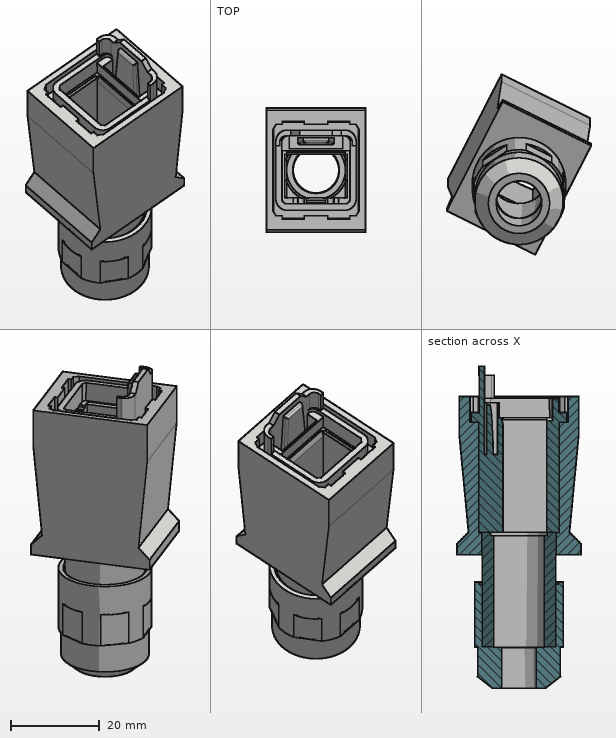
import cadquery as cq


TOTAL_HEIGHT = 72.45
NUT_CONE_TOP = 2.6
NUT_GRIP_BOTTOM = 9.3
NUT_FLAT_TOP = 16.95
NUT_TOP = 23.9
HOOD_BOTTOM = 30.0
FOOT_TOP = 32.45
WAIST = 35.1
SHOULDER = 56.7
HOOD_TOP = 65.65
TAB_SHOULDER = 70.4

HOOD_WIDTH = 22.3
FOOT_DEPTH = 28.0
WAIST_DEPTH = 22.75
HOOD_DEPTH = 26.9
OPENING_WIDTH = 19.35
OPENING_DEPTH = 20.6
OPENING_CORNER_X = 0.7
OPENING_CORNER_Y = 1.15
RECESS_DROP = 5.8
KEY_INNER = 2.7
KEY_OUTER = 7.6
KEY_END = 11.0
NECK_TOP = WAIST

FRAME_SIZE = 18.05
FRAME_RADIUS = 2.5
FRAME_TOP = HOOD_TOP - 0.4
FLANGE_TOP = HOOD_TOP - 3.6
FLANGE_BOTTOM = HOOD_TOP - RECESS_DROP
FLANGE_CLEARANCE = 0.2
REAR_WALL = 1.3
FRONT_WALL = 1.5
CAVITY_TOP_WIDTH = 15.4
CAVITY_BOTTOM_WIDTH = 15.15
CAVITY_CORNER = 0.7
DIVIDER_TOP = HOOD_TOP - 1.45
LEDGE_TOP = DIVIDER_TOP - 3.3
DIVIDER_FRONT = 4.4
DIVIDER_THICKNESS = 0.4
POCKET_WIDTH = 11.95
POCKET_FLOOR = HOOD_TOP - 13.05
WINDOW_WIDTH = 13.25
WINDOW_REAR = 3.55
WINDOW_FRONT = -6.2
WINDOW_FLARE = 0.4
REAR_SLOPE_DROP = 1.6

LEG_THICKNESS = 0.9
LEG_LENGTH = 3.5
LEG_INNER_RADIUS = 1.45
CREST_WIDTH = 7.3
CREST_FOOT_WIDTH = 11.4

RIB_TOP = TOTAL_HEIGHT - 0.95
RIB_BASE_WIDTH = 8.2
RIB_TOP_WIDTH = 5.65
RIB_BASE_REACH = 1.95
RIB_TOP_REACH = 1.5
RIB_GAP = 0.4
RIB_FILLET = 0.5

SCALLOP_SPOTS = ((3.3, 0.65), (4.6, 0.5))
NOTCH_WIDTH = 4.35
NOTCH_LENGTH = 1.0
NOTCH_CHAMFER = 0.4
NOTCH_DEPTH = 0.6

NECK_DIAMETER = 18.05
NECK_BORE = 13.2
NECK_COUNTERBORE = 14.2
NECK_COUNTERBORE_DEPTH = 0.7
NUT_DIAMETER = 21.0
NUT_ACROSS_FLATS = 20.0
NUT_FLAT_COUNT = 6
CAP_DIAMETER = 19.85
CONE_END_DIAMETER = 13.8
CABLE_HOLE = 10.2
CABLE_HOLE_CHAMFER = 0.15
NUT_RECESS_DIAMETER = 18.85
NUT_RECESS_DROP = 0.5


def block(x_min, x_max, y_min, y_max, z_min, z_max):
    """Box given by its limits along each axis."""
    size = (x_max - x_min, y_max - y_min, z_max - z_min)
    return cq.Workplane("XY").box(*size, centered=False).translate((x_min, y_min, z_min))


def disc(diameter, z_min, z_max):
    """Cylinder on the Z axis."""
    return cq.Workplane("XY").workplane(offset=z_min).circle(diameter / 2).extrude(z_max - z_min)


def frame_prism(z_min, z_max):
    """Square prism with rounded corners: the outside of the insert."""
    prism = cq.Workplane("XY").workplane(offset=z_min).rect(FRAME_SIZE, FRAME_SIZE)
    return prism.extrude(z_max - z_min).edges("|Z").fillet(FRAME_RADIUS)


def recess_prism(z_min, z_max):
    """Prism with cut corners, and two keys each on its front and its rear: the hood's opening."""
    x_edge = OPENING_WIDTH / 2
    y_edge = OPENING_DEPTH / 2
    quarter = [
        (x_edge, y_edge - OPENING_CORNER_Y),
        (x_edge - OPENING_CORNER_X, y_edge),
        (KEY_OUTER, y_edge),
        (KEY_OUTER, KEY_END),
        (KEY_INNER, KEY_END),
        (KEY_INNER, y_edge),
    ]
    rear = quarter + [(-x, y) for x, y in reversed(quarter)]
    front = [(-x, -y) for x, y in rear]
    return cq.Workplane("XY").workplane(offset=z_min).polyline(rear + front).close().extrude(z_max - z_min)


def make_hood():
    side = [
        (FOOT_DEPTH / 2, HOOD_BOTTOM),
        (FOOT_DEPTH / 2, FOOT_TOP),
        (WAIST_DEPTH / 2, WAIST),
        (HOOD_DEPTH / 2, SHOULDER),
        (HOOD_DEPTH / 2, HOOD_TOP),
    ]
    outline = side + [(-y, z) for y, z in reversed(side)]
    shell = cq.Workplane("YZ").polyline(outline).close().extrude(HOOD_WIDTH / 2, both=True)
    shell = shell.cut(recess_prism(FLANGE_BOTTOM, HOOD_TOP))
    shell = shell.cut(frame_prism(NECK_TOP, FLANGE_BOTTOM))
    return shell.cut(disc(NECK_DIAMETER, HOOD_BOTTOM, NECK_TOP))


FRAME_EDGE = FRAME_SIZE / 2
CAVITY_REAR = FRAME_EDGE - REAR_WALL
CAVITY_FRONT = FRONT_WALL - FRAME_EDGE
DIVIDER_REAR = DIVIDER_FRONT + DIVIDER_THICKNESS


def make_cavity():
    """Upper cavity, whose two sides lean inward toward the ledge."""
    cavity = block(
        -CAVITY_TOP_WIDTH / 2, CAVITY_TOP_WIDTH / 2, CAVITY_FRONT, CAVITY_REAR, LEDGE_TOP, FRAME_TOP
    )
    cavity = cavity.edges("|Z and <Y").chamfer(CAVITY_CORNER)
    cavity = cavity.edges("|Z and >Y").fillet(LEG_INNER_RADIUS)
    lean = [
        (-CAVITY_BOTTOM_WIDTH / 2, LEDGE_TOP),
        (CAVITY_BOTTOM_WIDTH / 2, LEDGE_TOP),
        (CAVITY_TOP_WIDTH / 2, FRAME_TOP),
        (-CAVITY_TOP_WIDTH / 2, FRAME_TOP),
    ]
    return cavity.intersect(cq.Workplane("XZ").polyline(lean).close().extrude(FRAME_EDGE, both=True))


def make_window():
    """Passage below the ledge, with chamfered sides and a steep slope at its rear."""
    half = WINDOW_WIDTH / 2
    flared_half = half + WINDOW_FLARE
    section = [
        (-half, NECK_TOP),
        (half, NECK_TOP),
        (half, LEDGE_TOP - WINDOW_FLARE),
        (flared_half, LEDGE_TOP),
        (-flared_half, LEDGE_TOP),
        (-half, LEDGE_TOP - WINDOW_FLARE),
    ]
    shaft = cq.Workplane("XZ", origin=(0, WINDOW_REAR, 0)).polyline(section).close()
    shaft = shaft.extrude(WINDOW_REAR - WINDOW_FRONT)
    slope = (
        cq.Workplane("YZ")
        .moveTo(WINDOW_REAR, LEDGE_TOP - REAR_SLOPE_DROP)
        .lineTo(WINDOW_REAR + WINDOW_FLARE, LEDGE_TOP)
        .lineTo(WINDOW_REAR, LEDGE_TOP)
        .close()
        .extrude(half, both=True)
    )
    return shaft.union(slope)


def make_tab():
    """Raised rear wall with a trapezoidal crest and a leg around each rear corner."""
    legs = frame_prism(FRAME_TOP, TAB_SHOULDER)
    legs = legs.intersect(
        block(-FRAME_EDGE, FRAME_EDGE, FRAME_EDGE - LEG_LENGTH, FRAME_EDGE, FRAME_TOP, TAB_SHOULDER)
    )
    inner = FRAME_EDGE - LEG_THICKNESS
    hollow = block(-inner, inner, 0, CAVITY_REAR, FRAME_TOP, TAB_SHOULDER)
    legs = legs.cut(hollow.edges("|Z and >Y").fillet(LEG_INNER_RADIUS))
    crest = (
        cq.Workplane("XZ", origin=(0, FRAME_EDGE, 0))
        .moveTo(-CREST_FOOT_WIDTH / 2, TAB_SHOULDER)
        .lineTo(CREST_FOOT_WIDTH / 2, TAB_SHOULDER)
        .lineTo(CREST_WIDTH / 2, TOTAL_HEIGHT)
        .lineTo(-CREST_WIDTH / 2, TOTAL_HEIGHT)
        .close()
        .extrude(REAR_WALL)
    )
    return legs.union(crest)


def make_rib():
    """Drafted rib with rounded edges on its front face."""
    rear = CAVITY_REAR - RIB_GAP
    base_depth = RIB_BASE_REACH - RIB_GAP
    top_depth = RIB_TOP_REACH - RIB_GAP
    rib = (
        cq.Workplane("XY", origin=(0, rear - base_depth / 2, POCKET_FLOOR))
        .rect(RIB_BASE_WIDTH, base_depth)
        .workplane(offset=RIB_TOP - POCKET_FLOOR)
        .center(0, (base_depth - top_depth) / 2)
        .rect(RIB_TOP_WIDTH, top_depth)
        .loft()
    )
    return rib.faces("<Y").edges("not <Z").fillet(RIB_FILLET)


def make_ledge_relief():
    """Scallops across the front ledge and a chamfered notch between them."""
    half = NOTCH_WIDTH / 2
    notch_front = WINDOW_FRONT - NOTCH_LENGTH
    relief = (
        cq.Workplane("YZ", origin=(-half, 0, 0))
        .moveTo(WINDOW_FRONT, LEDGE_TOP)
        .lineTo(notch_front, LEDGE_TOP)
        .lineTo(notch_front + NOTCH_CHAMFER, LEDGE_TOP - NOTCH_DEPTH)
        .lineTo(WINDOW_FRONT, LEDGE_TOP - NOTCH_DEPTH)
        .close()
        .extrude(NOTCH_WIDTH)
    )
    for side in (-1, 1):
        for x, radius in SCALLOP_SPOTS:
            scallop = cq.Workplane("XZ", origin=(side * x, WINDOW_FRONT, LEDGE_TOP)).circle(radius)
            relief = relief.union(scallop.extrude(WINDOW_FRONT - CAVITY_FRONT))
    return relief


def make_flange():
    """Plate that fills the hood's recess, with a little clearance at its sides and keys."""
    x_edge = OPENING_WIDTH / 2 - FLANGE_CLEARANCE
    y_edge = KEY_END - FLANGE_CLEARANCE
    trim = block(-x_edge, x_edge, -y_edge, y_edge, FLANGE_BOTTOM, FLANGE_TOP)
    return recess_prism(FLANGE_BOTTOM, FLANGE_TOP).intersect(trim)


def make_insert():
    body = frame_prism(NECK_TOP, FRAME_TOP).union(make_flange()).cut(make_cavity())
    block_half = CAVITY_TOP_WIDTH / 2
    divider = block(
        -block_half, block_half, DIVIDER_FRONT, CAVITY_REAR + REAR_WALL / 2, LEDGE_TOP, DIVIDER_TOP
    )
    pocket_half = POCKET_WIDTH / 2
    pocket = block(-pocket_half, pocket_half, DIVIDER_REAR, CAVITY_REAR, POCKET_FLOOR, DIVIDER_TOP)
    body = body.union(divider).cut(pocket)
    body = body.cut(make_window()).cut(make_ledge_relief())
    return body.union(make_tab()).union(make_rib())


def make_neck():
    neck = disc(NECK_DIAMETER, NUT_GRIP_BOTTOM, NECK_TOP).cut(disc(NECK_BORE, NUT_GRIP_BOTTOM, NECK_TOP))
    return neck.cut(disc(NECK_COUNTERBORE, NECK_TOP - NECK_COUNTERBORE_DEPTH, NECK_TOP))


def make_nut():
    profile = [
        (CABLE_HOLE / 2, 0),
        (CONE_END_DIAMETER / 2, 0),
        (CAP_DIAMETER / 2, NUT_CONE_TOP),
        (CAP_DIAMETER / 2, NUT_GRIP_BOTTOM),
        (NUT_DIAMETER / 2, NUT_GRIP_BOTTOM),
        (NUT_DIAMETER / 2, NUT_TOP),
        (NUT_RECESS_DIAMETER / 2, NUT_TOP),
        (NUT_RECESS_DIAMETER / 2, NUT_TOP - NUT_RECESS_DROP),
        (NECK_DIAMETER / 2, NUT_TOP - NUT_RECESS_DROP),
        (NECK_DIAMETER / 2, NUT_GRIP_BOTTOM),
        (CABLE_HOLE / 2 + CABLE_HOLE_CHAMFER, NUT_GRIP_BOTTOM),
        (CABLE_HOLE / 2, NUT_GRIP_BOTTOM - CABLE_HOLE_CHAMFER),
    ]
    nut = cq.Workplane("XZ").polyline(profile).close().revolve(360, (0, 0, 0), (0, 1, 0))
    flat = NUT_ACROSS_FLATS / 2
    radius = NUT_DIAMETER / 2
    cutter = block(-radius, radius, -NUT_DIAMETER, -flat, NUT_GRIP_BOTTOM, NUT_FLAT_TOP)
    for index in range(NUT_FLAT_COUNT):
        nut = nut.cut(cutter.rotate((0, 0, 0), (0, 0, 1), index * 360 / NUT_FLAT_COUNT))
    return nut


hood = make_hood()
insert = make_insert()
neck = make_neck()
nut = make_nut()

result = cq.Compound.makeCompound([hood.val(), insert.val(), neck.val(), nut.val()])